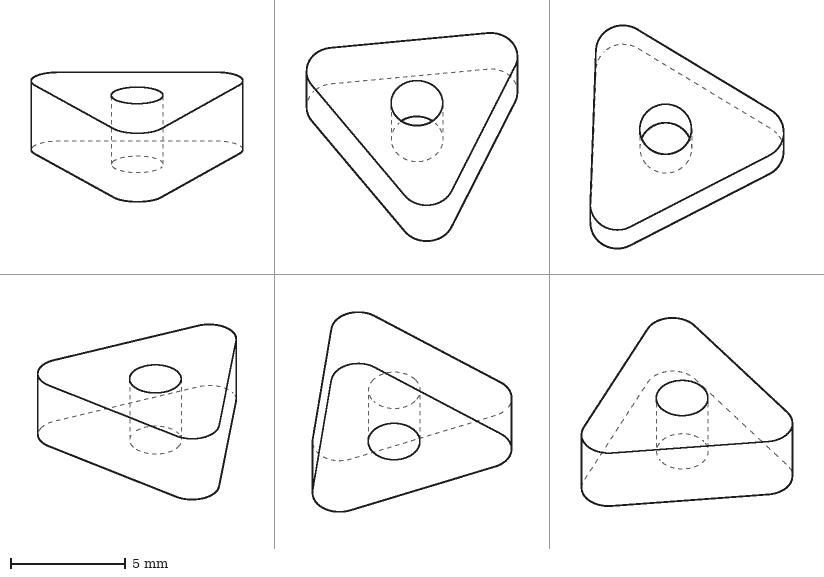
import cadquery as cq
import math

overall_width = 9.26
thickness = 3.17
corner_radius = 1.185
hole_diameter = 2.26

center_spacing = overall_width - 2 * corner_radius
center_circle_radius = center_spacing / math.sqrt(3)
corner_angles = [90, 210, 330]


def corner_center(angle):
    """Centre of the corner arc lying at the given angle in degrees."""
    turn = math.radians(angle)
    return (center_circle_radius * math.cos(turn), center_circle_radius * math.sin(turn))


def make_body():
    """Triangular plate with rounded vertical corners."""
    sharp_scale = (center_circle_radius + 2 * corner_radius) / center_circle_radius
    sharp_corners = []
    for angle in corner_angles:
        x, y = corner_center(angle)
        sharp_corners.append((x * sharp_scale, y * sharp_scale))
    plate = cq.Workplane("XY").polyline(sharp_corners).close().extrude(thickness)
    return plate.edges("|Z").fillet(corner_radius)


def make_hole():
    """Cylinder for the central through hole."""
    return cq.Workplane("XY").circle(hole_diameter / 2).extrude(thickness)


result = make_body().cut(make_hole())